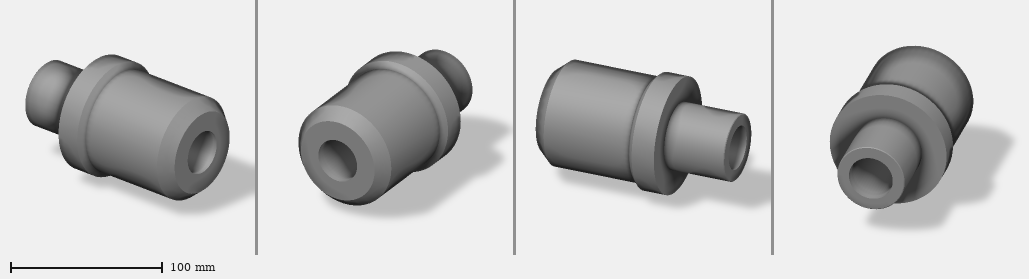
import cadquery as cq

spigot_length = 43.0
flange_length = 16.0
shoulder_length = 4.0
body_length = 61.0
nose_length = 9.0

spigot_diameter = 46.0
flange_diameter = 80.0
body_diameter = 72.0
nose_end_diameter = 57.0
bore_diameter = 30.0

spigot_chamfer = 0.5

flange_start = spigot_length
shoulder_start = flange_start + flange_length
body_start = shoulder_start + shoulder_length
nose_start = body_start + body_length
total_length = nose_start + nose_length


def make_turned_body():
    """Revolve the half profile of the bush, bore included, about the X axis."""
    spigot_radius = spigot_diameter / 2
    flange_radius = flange_diameter / 2
    body_radius = body_diameter / 2
    nose_end_radius = nose_end_diameter / 2
    bore_radius = bore_diameter / 2

    half_profile = [
        (0, bore_radius),
        (0, spigot_radius - spigot_chamfer),
        (spigot_chamfer, spigot_radius),
        (flange_start, spigot_radius),
        (flange_start, flange_radius),
        (shoulder_start, flange_radius),
        (body_start, body_radius),
        (nose_start, body_radius),
        (total_length, nose_end_radius),
        (total_length, bore_radius),
    ]
    return (
        cq.Workplane("XY")
        .polyline(half_profile)
        .close()
        .revolve(360, (0, 0, 0), (1, 0, 0))
    )


result = make_turned_body()